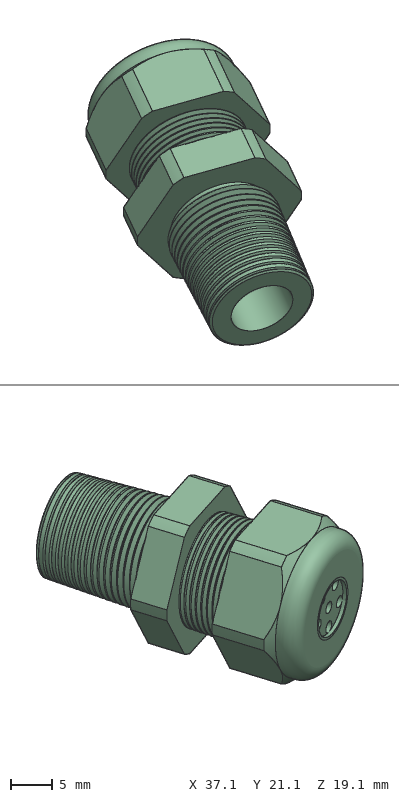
import cadquery as cq
import math

TOTAL_LENGTH = 37.08
CAP_CYLINDER_END = 2.8
CAP_HEX_END = 10.9
BODY_HEX_START = 17.1
BODY_HEX_END = 22.03

HEX_ACROSS_FLATS = 19.05
HEX_CORNER_DIAMETER = 21.15
CAP_RADIUS = HEX_ACROSS_FLATS / 2
CORNER_RADIUS = HEX_CORNER_DIAMETER / 2
CAP_EDGE_RADIUS = 2.08

THREAD_FLANK_SLOPE = math.tan(math.radians(60))
MIDDLE_GROOVE_SPAN = 5.35
MIDDLE_ROOT_RADIUS = 6.97
MIDDLE_CREST_RADIUS = 7.55
MIDDLE_CREST_TAPER = 0.025
MIDDLE_FIRST_GROOVE = 11.3
MIDDLE_GROOVE_COUNT = 8

REAR_GROOVE_SPAN = 13.27
REAR_ROOT_RADIUS = 6.45
REAR_CREST_RADIUS = 7.23
REAR_CREST_TAPER = 0.036
REAR_FIRST_GROOVE = 23.47
REAR_GROOVE_COUNT = 16
REAR_END_CHAMFER = 0.3

NECK_RADIUS = 6.3
NECK_FLARE_START = 22.25
NECK_FLARE_END = 23.15

INSERT_RADIUS = 3.95
INSERT_LENGTH = CAP_HEX_END
RECESS_RADIUS = 3.65
RECESS_DEPTH = 0.52
CABLE_HOLE_DIAMETER = 1.52
CABLE_HOLE_PITCH_RADIUS = 2.9
OUTER_CABLE_HOLES = 5


def cylinder(start, end, radius):
    """Solid cylinder on the X axis."""
    return cq.Workplane("YZ", origin=(start, 0, 0)).circle(radius).extrude(end - start)


def revolve_profile(profile):
    """Turn a closed XY outline around the X axis."""
    return profile.close().revolve(360, (0, 0, 0), (1, 0, 0))


def hexagon(start, end):
    """Hexagonal prism on the X axis with two corners on the Y axis."""
    across_corners = HEX_ACROSS_FLATS / math.cos(math.radians(30))
    return cq.Workplane("YZ", origin=(start, 0, 0)).polygon(6, across_corners).extrude(end - start)


def groove_points(first_groove, count, span, root_radius, crest_start, crest_radius, crest_taper):
    """Outline points of evenly spaced V grooves cut down from the crest cone."""
    pitch = span / (count - 1)
    points = []
    for index in range(count):
        center = first_groove + index * pitch
        cone_radius = crest_radius - crest_taper * (center - crest_start)
        depth = cone_radius - root_radius
        left_width = depth / (THREAD_FLANK_SLOPE - crest_taper)
        right_width = depth / (THREAD_FLANK_SLOPE + crest_taper)
        points.append((center - left_width, root_radius + left_width * THREAD_FLANK_SLOPE))
        points.append((center, root_radius))
        points.append((center + right_width, root_radius + right_width * THREAD_FLANK_SLOPE))
    return points


def make_cap():
    """Rounded cap and front hexagon with a conical chamfer towards the cap."""
    round_cap = cylinder(0, CAP_CYLINDER_END, CAP_RADIUS).faces("<X").edges().fillet(CAP_EDGE_RADIUS)
    chamfer_end = CAP_CYLINDER_END + CORNER_RADIUS - CAP_RADIUS
    envelope = revolve_profile(
        cq.Workplane("XY")
        .moveTo(CAP_CYLINDER_END, 0)
        .lineTo(CAP_CYLINDER_END, CAP_RADIUS)
        .lineTo(chamfer_end, CORNER_RADIUS)
        .lineTo(CAP_HEX_END, CORNER_RADIUS)
        .lineTo(CAP_HEX_END, 0)
    )
    return round_cap.union(hexagon(CAP_CYLINDER_END, CAP_HEX_END).intersect(envelope))


def make_body_hexagon():
    """Rear hexagon with its corners turned round."""
    envelope = cylinder(BODY_HEX_START, BODY_HEX_END, CORNER_RADIUS)
    return hexagon(BODY_HEX_START, BODY_HEX_END).intersect(envelope)


def make_middle_thread():
    """Thread between the two hexagons."""
    grooves = groove_points(
        MIDDLE_FIRST_GROOVE, MIDDLE_GROOVE_COUNT, MIDDLE_GROOVE_SPAN, MIDDLE_ROOT_RADIUS,
        CAP_HEX_END, MIDDLE_CREST_RADIUS, MIDDLE_CREST_TAPER,
    )
    end_radius = MIDDLE_CREST_RADIUS - MIDDLE_CREST_TAPER * (BODY_HEX_START - CAP_HEX_END)
    return revolve_profile(
        cq.Workplane("XY")
        .moveTo(CAP_HEX_END, 0)
        .lineTo(CAP_HEX_END, MIDDLE_CREST_RADIUS)
        .polyline(grooves, includeCurrent=True)
        .lineTo(BODY_HEX_START, end_radius)
        .lineTo(BODY_HEX_START, 0)
    )


def make_rear_thread():
    """Tapered thread behind the rear hexagon, with its flared neck and end chamfer."""
    grooves = groove_points(
        REAR_FIRST_GROOVE, REAR_GROOVE_COUNT, REAR_GROOVE_SPAN, REAR_ROOT_RADIUS,
        BODY_HEX_END, REAR_CREST_RADIUS, REAR_CREST_TAPER,
    )
    flare_radius = REAR_ROOT_RADIUS + (REAR_FIRST_GROOVE - NECK_FLARE_END) * THREAD_FLANK_SLOPE
    flare_length = NECK_FLARE_END - NECK_FLARE_START
    flare_height = flare_radius - NECK_RADIUS
    flare_arc_radius = (flare_length**2 + flare_height**2) / (2 * flare_height)
    half_angle = math.atan2(flare_height, flare_length)
    flare_middle = (
        NECK_FLARE_START + flare_arc_radius * math.sin(half_angle),
        NECK_RADIUS + flare_arc_radius * (1 - math.cos(half_angle)),
    )
    rear_radius = grooves[-1][1]
    return revolve_profile(
        cq.Workplane("XY")
        .moveTo(BODY_HEX_END, 0)
        .lineTo(BODY_HEX_END, NECK_RADIUS)
        .lineTo(NECK_FLARE_START, NECK_RADIUS)
        .threePointArc(flare_middle, (NECK_FLARE_END, flare_radius))
        .polyline(grooves[1:], includeCurrent=True)
        .lineTo(TOTAL_LENGTH, rear_radius - REAR_END_CHAMFER)
        .lineTo(TOTAL_LENGTH, 0)
    )


def make_gland():
    """Cap, hexagons and threads in one piece, bored through for the insert and the cables."""
    outside = make_cap().union(make_middle_thread()).union(make_body_hexagon()).union(make_rear_thread())
    return outside.cut(cylinder(0, TOTAL_LENGTH, INSERT_RADIUS))


def make_insert():
    """Round seal with a shallow front recess, a central cable hole and a ring of cable holes."""
    recess = cylinder(0, RECESS_DEPTH, RECESS_RADIUS)
    ring_step = 2 * math.pi / OUTER_CABLE_HOLES
    hole_centers = [(0, 0)]
    for index in range(OUTER_CABLE_HOLES):
        angle = -math.pi / 2 + index * ring_step
        hole_centers.append(
            (CABLE_HOLE_PITCH_RADIUS * math.cos(angle), CABLE_HOLE_PITCH_RADIUS * math.sin(angle))
        )
    hole_outlines = cq.Workplane("YZ").pushPoints(hole_centers).circle(CABLE_HOLE_DIAMETER / 2)
    cable_holes = hole_outlines.extrude(INSERT_LENGTH)
    return cylinder(0, INSERT_LENGTH, INSERT_RADIUS).cut(recess).cut(cable_holes)


gland = make_gland()
insert = make_insert()
result = cq.Compound.makeCompound([gland.val(), insert.val()])